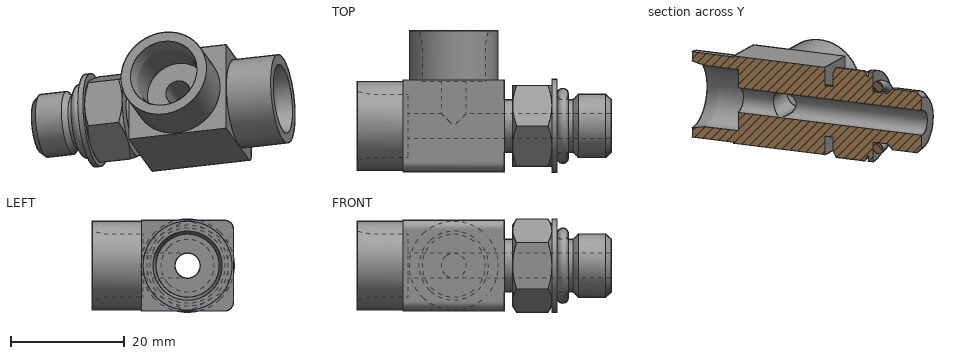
import cadquery as cq
import math

block_start = 8.1
block_end = 25.85
nut_start = 27.33
nut_end = 34.2
washer_end = 35.15
neck_end = 37.95
thread_start = 38.9
chamfer_start = 43.62
stem_end = 44.65

block_half_width = 8.1
block_height = 16.0
block_fillet = 1.6
collar_radius = 7.8
branch_x = (block_start + block_end) / 2
branch_end = 16.75
socket_mouth_radius = 6.07
socket_radius = 5.55
cone_half_angle = 12.0
cone_depth = (socket_mouth_radius - socket_radius) / math.tan(math.radians(cone_half_angle))
socket_depth = 8.95
bore_radius = 2.2

neck_radius = 4.65
thread_radius = 5.6
nut_corner_radius = 8.2
nut_flat_radius = nut_corner_radius * math.cos(math.pi / 6)
nut_chamfer_length = 0.65
washer_radius = 8.2

ring_section_radius = 1.0
ring_center_radius = neck_radius + ring_section_radius
ring_x = washer_end + ring_section_radius


def revolve_about_x(points):
    """Solid of revolution about X from (x, radius) points."""
    return cq.Workplane("XY").polyline(points).close().revolve(360, (0, 0, 0), (1, 0, 0))


def cylinder_x(start, end, radius):
    return cq.Workplane("YZ", origin=(start, 0, 0)).circle(radius).extrude(end - start)


def place_on_branch(feature, mouth_y):
    """Turn a feature that starts at the origin along +X so that it runs along -Y from mouth_y."""
    return feature.rotate((0, 0, 0), (0, 0, 1), -90).translate((branch_x, mouth_y, 0))


def make_block():
    block = cq.Workplane("XY").box(block_end - block_start, 2 * block_half_width, block_height)
    block = block.edges("|X and <Y").fillet(block_fillet)
    return block.translate((branch_x, 0, 0))


def make_socket():
    """Tapered mouth followed by a straight tube seat."""
    return revolve_about_x([
        (0, 0),
        (0, socket_mouth_radius),
        (cone_depth, socket_radius),
        (socket_depth, socket_radius),
        (socket_depth, 0),
    ])


def make_stem():
    return revolve_about_x([
        (block_end, 0),
        (block_end, neck_radius),
        (neck_end, neck_radius),
        (thread_start, thread_radius),
        (chamfer_start, thread_radius),
        (stem_end, neck_radius),
        (stem_end, 0),
    ])


def make_nut():
    """Hexagon with corners up and down, its corners turned off by a cone at both ends."""
    hexagon = cq.Workplane("YZ", origin=(nut_start, 0, 0)).polygon(6, 2 * nut_corner_radius)
    prism = hexagon.extrude(nut_end - nut_start).rotate((0, 0, 0), (1, 0, 0), 90)
    envelope = revolve_about_x([
        (nut_start, 0),
        (nut_start, nut_flat_radius),
        (nut_start + nut_chamfer_length, nut_corner_radius),
        (nut_end - nut_chamfer_length, nut_corner_radius),
        (nut_end, nut_flat_radius),
        (nut_end, 0),
    ])
    return prism.intersect(envelope)


def make_fitting():
    fitting = make_block()
    fitting = fitting.union(cylinder_x(0, block_start, collar_radius))
    branch_collar = cylinder_x(0, branch_end - block_half_width, collar_radius)
    fitting = fitting.union(place_on_branch(branch_collar, branch_end))
    fitting = fitting.union(make_stem())
    fitting = fitting.union(make_nut())
    fitting = fitting.union(cylinder_x(nut_end, washer_end, washer_radius))

    fitting = fitting.cut(make_socket())
    fitting = fitting.cut(place_on_branch(make_socket(), branch_end))
    fitting = fitting.cut(cylinder_x(0, stem_end, bore_radius))
    branch_bore = cylinder_x(0, branch_end, bore_radius)
    return fitting.cut(place_on_branch(branch_bore, branch_end))


def make_o_ring():
    section = cq.Workplane("XY").center(ring_x, ring_center_radius).circle(ring_section_radius)
    return section.revolve(360, (0, -ring_center_radius, 0), (1, -ring_center_radius, 0))


fitting = make_fitting()
o_ring = make_o_ring()

result = cq.Compound.makeCompound([fitting.val(), o_ring.val()])